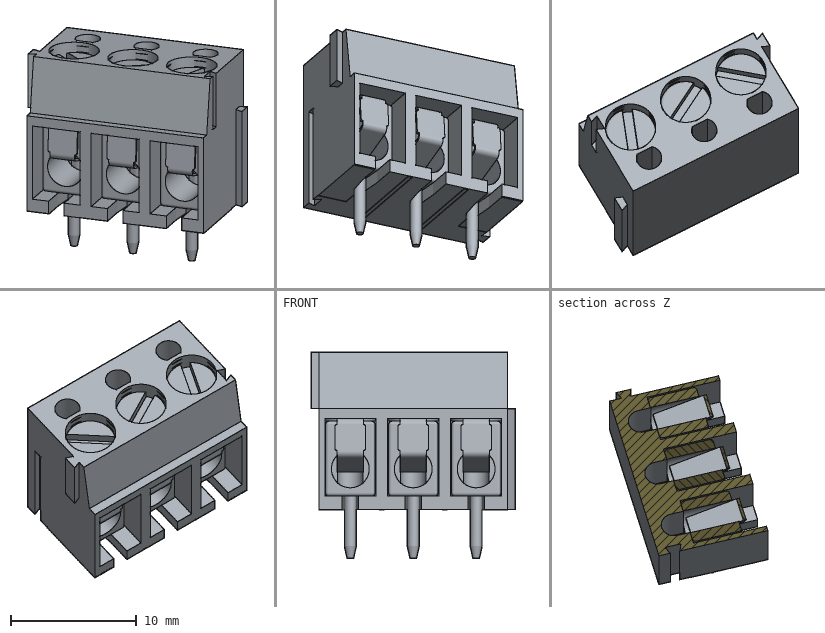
import cadquery as cq
import math


pitch = 5.0
pole_count = 3
pole_xs = [(i - (pole_count - 1) / 2) * pitch for i in range(pole_count)]
slot_angles = [-40, 30, 69]

length = pole_count * pitch
half_length = length / 2
front_y = -4.0
back_y = 5.0
top_z = 12.5
underside_z = -0.03
ledge_z = 8.0
ledge_y = -3.25
top_front_y = -2.5

dovetail_depth = 0.62
dovetail_root = 0.75
dovetail_tip = 1.25
upper_dovetail_y = -1.5
lower_dovetail_y = 3.66

chamber_width = 4.06
chamber_floor_z = 1.04
chamber_top_z = 7.2
chamber_back_y = 2.0

floor_slot_width = 1.3
floor_slot_taper_y = -1.75

test_hole_radius = 1.0
test_hole_y = 3.06
test_hole_flat_y = 2.33

pad_bottom_z = -0.07
pad_front_y = -3.9
rib_back_y = 4.9
rib_width = 0.37
end_pad_back_y = 2.44

screw_radius = 2.0
screw_edge_fillet = 0.25
screw_top_z = 11.7
screw_slot_width = 0.8
screw_slot_depth = 0.7

lug_flat_radius = 1.94
lug_width = 2 * math.sqrt(screw_radius**2 - lug_flat_radius**2)
lug_height = 0.5
lug_count = 4

cage_width = 3.92
cage_front_y = -2.0
cage_back_y = chamber_back_y
cage_depth = cage_back_y - cage_front_y
cage_top_z = 7.0
cage_fillet = 0.25
wire_radius = 1.5
wire_z = 3.21
pin_radius = 0.48
pin_tip_radius = 0.27
pin_taper_z = -2.95
pin_tip_z = -3.9

leaf_thickness = 0.2
leaf_width = 2.1
leaf_bend_radius = 0.48
leaf_lean = 5
leg_slope = 15
upper_bend_y = cage_front_y
upper_bend_z = chamber_top_z - leaf_bend_radius
lower_bend_z = 4.54
leg_end_y = 1.8
plate_width = 2.45
plate_bottom_gap = 0.09
plate_corner_radius = 0.2


def box(x0, x1, y0, y1, z0, z1):
    """Block between two opposite corners."""
    return cq.Workplane("XY").box(x1 - x0, y1 - y0, z1 - z0, centered=False).translate((x0, y0, z0))


def pole_box(x, width, y0, y1, z0, z1):
    """Block centred on x."""
    return box(x - width / 2, x + width / 2, y0, y1, z0, z1)


def post(x, y, radius, z0, z1):
    """Upright cylinder."""
    return cq.Workplane("XY", origin=(x, y, z0)).circle(radius).extrude(z1 - z0)


def dovetail(root_x, y, z0, z1):
    """Dovetail bar that widens towards -X from its root."""
    tip_x = root_x - dovetail_depth
    return (
        cq.Workplane("XY", origin=(0, y, z0))
        .moveTo(root_x, -dovetail_root / 2)
        .lineTo(root_x, dovetail_root / 2)
        .lineTo(tip_x, dovetail_tip / 2)
        .lineTo(tip_x, -dovetail_tip / 2)
        .close()
        .extrude(z1 - z0)
    )


def test_hole(x):
    """Hole with a flat side, plus the passage that opens it into the chamber."""
    hole = post(x, test_hole_y, test_hole_radius, chamber_floor_z, top_z)
    hole_width = 2 * test_hole_radius
    hole_back_y = test_hole_y + test_hole_radius
    hole = hole.intersect(pole_box(x, hole_width, test_hole_flat_y, hole_back_y, chamber_floor_z, top_z))
    passage_top_z = wire_z + wire_radius
    passage = pole_box(x, hole_width, chamber_back_y, test_hole_y, chamber_floor_z, passage_top_z)
    return hole.union(passage)


def floor_slot(x):
    """Slot through the chamber floor that narrows onto the round pin seat."""
    slot = (
        cq.Workplane("XY", origin=(x, 0, pad_bottom_z))
        .moveTo(-floor_slot_width / 2, front_y)
        .lineTo(floor_slot_width / 2, front_y)
        .lineTo(floor_slot_width / 2, floor_slot_taper_y)
        .lineTo(pin_radius, 0)
        .threePointArc((0, pin_radius), (-pin_radius, 0))
        .lineTo(-floor_slot_width / 2, floor_slot_taper_y)
        .close()
    )
    return slot.extrude(chamber_floor_z - pad_bottom_z)


def screw_bore(x):
    """Bore from the top face into the chamber, less the flat retaining lugs."""
    bore = post(x, 0, screw_radius, cage_top_z, top_z)
    for i in range(lug_count):
        lug = pole_box(0, lug_width, lug_flat_radius, screw_radius, screw_top_z, screw_top_z + lug_height)
        lug = lug.rotate((0, 0, 0), (0, 0, 1), i * 360 / lug_count)
        bore = bore.cut(lug.translate((x, 0, 0)))
    return bore


def make_housing():
    housing = (
        cq.Workplane("YZ", origin=(-half_length, 0, 0))
        .moveTo(front_y, underside_z)
        .lineTo(back_y, underside_z)
        .lineTo(back_y, top_z)
        .lineTo(top_front_y, top_z)
        .lineTo(ledge_y, ledge_z)
        .lineTo(front_y, ledge_z)
        .close()
        .extrude(length)
    )

    for x0, x1 in zip(pole_xs, pole_xs[1:]):
        rib = pole_box((x0 + x1) / 2, rib_width, pad_front_y, rib_back_y, pad_bottom_z, underside_z)
        housing = housing.union(rib)
    housing = housing.union(box(-half_length, pole_xs[0], pad_front_y, end_pad_back_y, pad_bottom_z, underside_z))
    housing = housing.union(box(pole_xs[-1], half_length, pad_front_y, end_pad_back_y, pad_bottom_z, underside_z))

    upper_tongue = dovetail(-half_length, upper_dovetail_y, ledge_z, top_z)
    upper_groove = dovetail(half_length, upper_dovetail_y, ledge_z, top_z)
    lower_tongue = dovetail(-half_length, lower_dovetail_y, underside_z, ledge_z).mirror("YZ")
    lower_groove = dovetail(half_length, lower_dovetail_y, underside_z, ledge_z).mirror("YZ")
    housing = housing.cut(upper_groove).cut(lower_groove)
    housing = housing.union(upper_tongue).union(lower_tongue)

    for x in pole_xs:
        chamber = pole_box(x, chamber_width, front_y, chamber_back_y, chamber_floor_z, chamber_top_z)
        housing = housing.cut(chamber)
        housing = housing.cut(screw_bore(x))
        housing = housing.cut(test_hole(x))
        housing = housing.cut(floor_slot(x))
    return housing


def make_screw(x, slot_angle):
    """Slotted screw that stands on the top of the cage."""
    screw = post(0, 0, screw_radius, cage_top_z, screw_top_z).faces(">Z").edges().fillet(screw_edge_fillet)
    slot = (
        cq.Workplane("XY", origin=(0, 0, screw_top_z - screw_slot_depth))
        .rect(2 * screw_radius, screw_slot_width)
        .extrude(screw_slot_depth)
        .rotate((0, 0, 0), (0, 0, 1), slot_angle)
    )
    return screw.cut(slot).translate((x, 0, 0))


def make_cage(x):
    """Clamp block with a wire hole through it and the solder pin below it."""
    cage = pole_box(0, cage_width, cage_front_y, cage_back_y, chamber_floor_z, cage_top_z)
    cage = cage.edges().fillet(cage_fillet)
    wire_hole = cq.Workplane("XZ", origin=(0, cage_back_y, wire_z)).circle(wire_radius).extrude(cage_depth)
    pin = (
        cq.Workplane("XZ")
        .moveTo(0, chamber_floor_z)
        .lineTo(pin_radius, chamber_floor_z)
        .lineTo(pin_radius, pin_taper_z)
        .lineTo(pin_tip_radius, pin_tip_z)
        .lineTo(0, pin_tip_z)
        .close()
        .revolve(360, (0, 0, 0), (0, 1, 0))
    )
    return cage.cut(wire_hole).union(pin).translate((x, 0, 0))


def make_leaf(x):
    """Strip hooked towards the cage top, with a leaning front plate and a leg sloping into the wire hole."""
    outer = leaf_bend_radius
    inner = leaf_bend_radius - leaf_thickness
    lean = math.radians(leaf_lean)
    slope = math.radians(leg_slope)
    lower_bend_y = upper_bend_y - (upper_bend_z - lower_bend_z) * math.tan(lean)

    def upper(radius, angle):
        return (upper_bend_y - radius * math.cos(angle), upper_bend_z + radius * math.sin(angle))

    def lower(radius, angle):
        return (lower_bend_y - radius * math.cos(angle), lower_bend_z + radius * math.sin(angle))

    def leg_end(radius):
        y, z = lower(radius, leg_angle)
        return (leg_end_y, z - (leg_end_y - y) * math.tan(slope))

    leg_angle = slope - math.pi / 2
    upper_middle = (math.pi / 2 + lean) / 2
    lower_middle = (leg_angle + lean) / 2
    strip = (
        cq.Workplane("YZ", origin=(-leaf_width / 2, 0, 0))
        .moveTo(*upper(outer, math.pi / 2))
        .threePointArc(upper(outer, upper_middle), upper(outer, lean))
        .lineTo(*lower(outer, lean))
        .threePointArc(lower(outer, lower_middle), lower(outer, leg_angle))
        .lineTo(*leg_end(outer))
        .lineTo(*leg_end(inner))
        .lineTo(*lower(inner, leg_angle))
        .threePointArc(lower(inner, lower_middle), lower(inner, lean))
        .lineTo(*upper(inner, lean))
        .threePointArc(upper(inner, upper_middle), upper(inner, math.pi / 2))
        .close()
        .extrude(leaf_width)
    )

    flat_length = (upper_bend_z - lower_bend_z) / math.cos(lean)
    plate = pole_box(0, plate_width, -outer, -inner, plate_bottom_gap, flat_length)
    plate = plate.edges("|Y").fillet(plate_corner_radius)
    plate = plate.rotate((0, 0, 0), (1, 0, 0), -leaf_lean).translate((0, lower_bend_y, lower_bend_z))
    return strip.union(plate).translate((x, 0, 0))


housing = make_housing()
screws = [make_screw(x, angle) for x, angle in zip(pole_xs, slot_angles)]
cages = [make_cage(x) for x in pole_xs]
leaves = [make_leaf(x) for x in pole_xs]

bodies = [housing, *screws, *cages, *leaves]
result = cq.Compound.makeCompound([body.solids().val() for body in bodies])